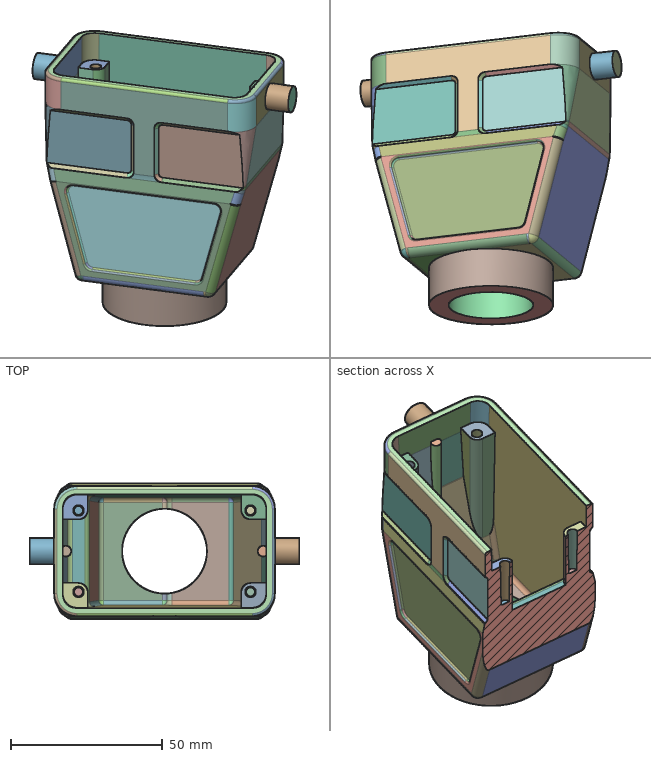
import cadquery as cq
import math

total_length = 89.2
total_height = 85.1

base_z = 12.9
waist_z = 53.4
collar_z = 73.9
collar_half_x = 36.6
collar_half_y = 21.5
collar_corner = 7.5
waist_half_x = 34.7
base_half_x = 23.8
base_half_y = 22.5
shoulder_z = 48.4
body_fillet = 2.7
end_blend = 9.8
shoulder_blend = 8.9
blend_reach = 0.9
rim_fillet = 1.0

neck_diameter = 41.1
bore_diameter = 28.0

pin_diameter = 8.8
pin_z = 78.85

panel_corner = 2.5
window_depth = 1.1
window_border = 1.25
web_half_width = 3.6
window_top_z = 73.95
window_bottom_z = 52.5
label_depth = 1.2
label_fillet = 0.5
label_top_z = 47.5
label_bottom_z = 18.2
label_top_half_x = 27.7
label_bottom_half_x = 19.9

cavity_half_x = 33.6
cavity_half_y = 18.8
cavity_floor_half_y = 17.75
cavity_corner = 4.5
cavity_fillet = 1.6
low_floor_z = 16.4
high_floor_z = 18.9
floor_step_x = 0.8
bend_z = 54.4
bend_half_x = 32.0
ledge_z = 53.1
ledge_edge_x = -25.0
pocket_foot_x = -21.7

post_top_z = 75.5
post_inner_x = 25.4
post_inner_y = 10.5
post_corner = 3.0
screw_x = 28.45
screw_y = 13.5
screw_hole_diameter = 3.6
screw_hole_depth = 17.8
screw_hole_draft = 1.0
rib_radius = 1.8
rib_center_x = 32.65

hood_slope = (waist_half_x - base_half_x) / (waist_z - base_z)


def rounded_section(half_x, half_y, corner, z):
    """Rounded rectangle centred on the Z axis at the given height."""
    sketch = cq.Sketch().rect(2 * half_x, 2 * half_y).vertices().fillet(corner)
    return cq.Workplane("XY", origin=(0, 0, z)).placeSketch(sketch)


def lofted(bottom, bottom_z, top, top_z):
    """Straight-sided loft between two (half_x, half_y, corner) sections."""
    sections = []
    for (half_x, half_y, corner), z in ((bottom, bottom_z), (top, top_z)):
        sketch = cq.Sketch().rect(2 * half_x, 2 * half_y).vertices().fillet(corner)
        sections.append(sketch.moved(cq.Location(cq.Vector(0, 0, z))))
    return cq.Workplane("XY").placeSketch(*sections).loft(ruled=True)


def mirrored_points(right_points):
    """Right-hand points followed by their mirror images."""
    return right_points + [(-across, up) for across, up in reversed(right_points)]


def near_height(z, reach):
    """Selector for everything within a thin slab around the given height."""
    side = total_length
    return cq.selectors.BoxSelector((-side, -side, z - reach), (side, side, z + reach))


def make_blank():
    """Hood with its XZ and YZ outlines and one small radius on all corner edges."""
    front_points = mirrored_points([
        (base_half_x, base_z),
        (waist_half_x, waist_z),
        (collar_half_x, collar_z),
        (collar_half_x, total_height),
    ])
    side_points = mirrored_points([
        (base_half_y, base_z),
        (base_half_y, shoulder_z),
        (collar_half_y, waist_z),
        (collar_half_y, total_height),
    ])
    front = cq.Workplane("XZ").polyline(front_points).close().extrude(base_half_y, both=True)
    bends = near_height(waist_z, blend_reach) + near_height(collar_z, blend_reach)
    front = front.edges(bends).edges("|Y").fillet(end_blend)
    side = cq.Workplane("YZ").polyline(side_points).close().extrude(collar_half_x, both=True)
    side = side.edges(near_height(waist_z, blend_reach)).edges("|X").fillet(shoulder_blend)
    blank = front.intersect(side)
    blank = blank.edges("not (|X or |Y)").fillet(body_fillet)
    return blank.faces("<Z").edges().fillet(body_fillet)


def make_hood():
    """Blank with corners that open from the body radius up to the collar radius."""
    corner_z = waist_z + blend_reach
    corner_half_x = waist_half_x + blend_reach * (collar_half_x - waist_half_x) / (collar_z - waist_z)
    collar_size = (collar_half_x, collar_half_y, collar_corner)
    envelope = lofted((corner_half_x, collar_half_y, body_fillet), corner_z, collar_size, collar_z)
    envelope = envelope.union(rounded_section(*collar_size, collar_z).extrude(total_height - collar_z))
    lower_block = cq.Workplane("XY").box(
        2 * collar_half_x, 2 * base_half_y, corner_z, centered=(True, True, False)
    )
    hood = make_blank().intersect(envelope.union(lower_block))
    return hood.faces(">Z").edges().fillet(rim_fillet)


def panel_plane(points, y):
    """Panel outline with rounded corners on an XZ plane of the -Y side."""
    sketch = cq.Sketch().polygon(points + points[:1]).vertices().fillet(panel_corner)
    return cq.Workplane("XZ", origin=(0, y, 0)).placeSketch(sketch)


def cut_labels(hood):
    """Trapezoid label panel on each long side, with softened floor edge and rim."""
    points = mirrored_points([
        (label_bottom_half_x, label_bottom_z),
        (label_top_half_x, label_top_z),
    ])
    label = panel_plane(points, label_depth - base_half_y).extrude(2 * label_depth)
    label = label.faces(">Y").edges().fillet(label_fillet)
    hood = hood.cut(label).cut(label.mirror("XZ"))
    rims = [face.innerWires()[0] for face in hood.faces("<Y or >Y").vals()]
    return hood.newObject(rims).edges().fillet(label_fillet)


def cut_windows(hood):
    """Two windows with sloped borders on each long side, running out through the corners."""
    points = [
        (web_half_width, window_bottom_z),
        (total_length / 2, window_bottom_z),
        (total_length / 2, window_top_z),
        (web_half_width, window_top_z),
    ]
    outline = panel_plane(points, -collar_half_y)
    taper = math.degrees(math.atan(window_border / window_depth))
    window = outline.extrude(-window_depth, taper=taper).union(outline.extrude(window_depth))
    windows = window.union(window.mirror("YZ"))
    return hood.cut(windows).cut(windows.mirror("XZ"))


def make_cavity():
    """Inner space: leaning +X wall, ledged -X wall and a stepped floor."""
    floor_end_x = bend_half_x - hood_slope * (bend_z - high_floor_z)
    step_half_width = hood_slope * (high_floor_z - low_floor_z) / 2
    outline = [
        (cavity_half_x, total_height),
        (cavity_half_x, collar_z),
        (bend_half_x, bend_z),
        (floor_end_x, high_floor_z),
        (floor_step_x + step_half_width, high_floor_z),
        (floor_step_x - step_half_width, low_floor_z),
        (pocket_foot_x, low_floor_z),
        (ledge_edge_x, ledge_z),
        (-bend_half_x, ledge_z),
        (-cavity_half_x, collar_z),
        (-cavity_half_x, total_height),
    ]
    profile = cq.Workplane("XZ").polyline(outline).close().extrude(cavity_half_y, both=True)
    floor_size = (cavity_half_x, cavity_floor_half_y, cavity_corner)
    top_size = (cavity_half_x, cavity_half_y, cavity_corner)
    cavity = lofted(floor_size, low_floor_z, top_size, total_height).intersect(profile)
    below_bend = cq.selectors.BoxSelector(
        (-bend_half_x - 0.9, -cavity_half_y, 0), (bend_half_x + 0.9, cavity_half_y, bend_z + 0.9)
    )
    return cavity.edges(below_bend).fillet(cavity_fillet)


def make_posts():
    """Four corner screw posts and one half-round guide rib on each end wall."""
    post_height = post_top_z - low_floor_z
    post = cq.Workplane("XY", origin=(0, 0, low_floor_z)).rect(
        collar_half_x - post_inner_x, collar_half_y - post_inner_y
    ).extrude(post_height).edges("|Z and <X and <Y").fillet(post_corner)
    post = post.translate(((collar_half_x + post_inner_x) / 2, (collar_half_y + post_inner_y) / 2, 0))
    rib = cq.Workplane("XY", origin=(rib_center_x, 0, low_floor_z)).circle(rib_radius).extrude(post_height)
    end_posts = post.union(post.mirror("XZ")).union(rib)
    return end_posts.union(end_posts.mirror("YZ"))


def make_screw_holes():
    """Slightly tapered blind holes in the post tops."""
    centers = [(x, y) for x in (-screw_x, screw_x) for y in (-screw_y, screw_y)]
    holes = cq.Workplane("XY", origin=(0, 0, post_top_z)).pushPoints(centers)
    return holes.circle(screw_hole_diameter / 2).extrude(-screw_hole_depth, taper=screw_hole_draft)


neck = cq.Workplane("XY").circle(neck_diameter / 2).extrude(base_z + body_fillet)
bore = cq.Workplane("XY").circle(bore_diameter / 2).extrude(high_floor_z)
pins = cq.Workplane("YZ").center(0, pin_z).circle(pin_diameter / 2).extrude(total_length / 2, both=True)

result = cut_windows(cut_labels(make_hood())).union(neck).union(pins)
result = result.cut(make_cavity().cut(make_posts()))
result = result.cut(bore).cut(make_screw_holes())